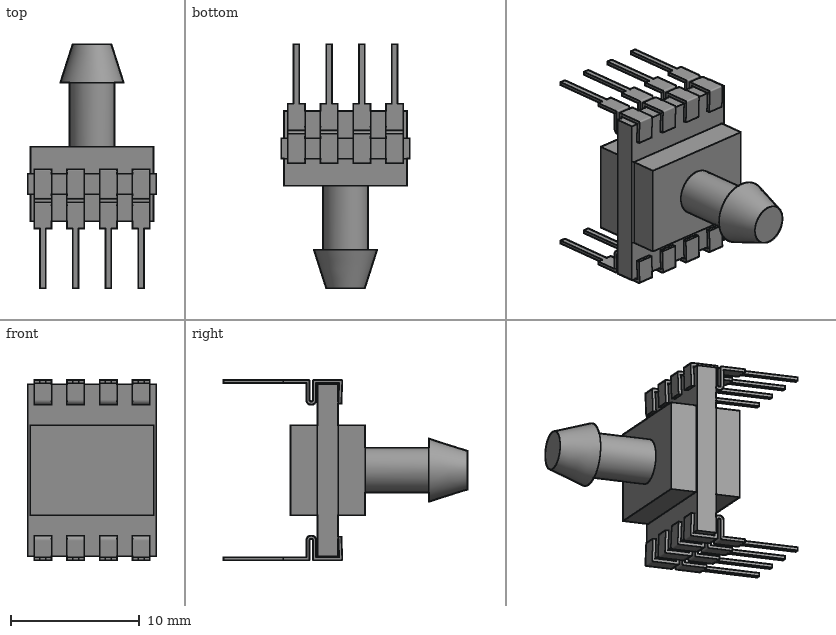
import cadquery as cq
import math

board_width = 10.0
board_thickness = 1.6
board_height = 13.35

housing_width = 9.55
housing_height = 7.0
housing_depth = 5.8
tube_diameter = 3.5
tube_length = 4.95
barb_length = 3.0
barb_base_diameter = 4.92
barb_tip_diameter = 3.0

leads_per_row = 4
lead_pitch = 2.54
lead_thickness = 0.26
lead_width = 1.37
pin_width = 0.48
lead_top_z = 7.0
lead_end_y = -8.09
shoulder_y = -3.46
corner_radius = 0.11

rear_leg_drop = 1.85
rear_leg_top_gap = 0.08
rear_leg_bottom_gap = 0.01

fold_board_gap = 0.09
fold_gap = 0.25
fold_centre_drop = 1.55

board_front_y = -board_thickness / 2
board_rear_y = board_thickness / 2
housing_rear_y = housing_depth / 2


def make_board():
    """Plate with a window that the housing fills."""
    plate = cq.Workplane("XY").box(board_width, board_thickness, board_height)
    window = cq.Workplane("XY").box(housing_width, board_thickness, housing_height)
    return plate.cut(window)


def make_port():
    """Round tube with a conical barb, turned about the Y axis."""
    barb_start_y = housing_rear_y + tube_length
    tip_y = barb_start_y + barb_length
    return (
        cq.Workplane("XY")
        .moveTo(0, housing_rear_y)
        .lineTo(tube_diameter / 2, housing_rear_y)
        .lineTo(tube_diameter / 2, barb_start_y)
        .lineTo(barb_base_diameter / 2, barb_start_y)
        .lineTo(barb_tip_diameter / 2, tip_y)
        .lineTo(0, tip_y)
        .close()
        .revolve(360, (0, 0, 0), (0, 1, 0))
    )


def make_housing():
    block = cq.Workplane("XY").box(housing_width, housing_depth, housing_height)
    return block.union(make_port())


def lead_strip():
    """Side profile of a top lead in the YZ plane, extruded to the full lead width."""
    underside_z = lead_top_z - lead_thickness

    leg_inner_top_y = board_rear_y + rear_leg_top_gap
    leg_outer_top_y = leg_inner_top_y + lead_thickness
    leg_inner_bottom_y = board_rear_y + rear_leg_bottom_gap
    leg_outer_bottom_y = leg_inner_bottom_y + lead_thickness
    leg_bottom_z = lead_top_z - rear_leg_drop

    fold_rear_y = board_front_y - fold_board_gap
    slot_rear_y = fold_rear_y - lead_thickness
    slot_front_y = slot_rear_y - fold_gap
    fold_front_y = slot_front_y - lead_thickness
    bend_y = (slot_rear_y + slot_front_y) / 2
    bend_z = lead_top_z - fold_centre_drop
    bend_inner_bottom_z = bend_z - fold_gap / 2
    bend_outer_bottom_z = bend_inner_bottom_z - lead_thickness

    corner_z = lead_top_z - corner_radius
    arc_inset = corner_radius * (1 - math.sqrt(0.5))
    arc_z = lead_top_z - arc_inset

    return (
        cq.Workplane("YZ")
        .moveTo(leg_inner_bottom_y, leg_bottom_z)
        .lineTo(leg_outer_bottom_y, leg_bottom_z)
        .lineTo(leg_outer_top_y, corner_z)
        .threePointArc((leg_outer_top_y - arc_inset, arc_z), (leg_outer_top_y - corner_radius, lead_top_z))
        .lineTo(slot_rear_y + corner_radius, lead_top_z)
        .threePointArc((slot_rear_y + arc_inset, arc_z), (slot_rear_y, corner_z))
        .lineTo(slot_rear_y, bend_z)
        .threePointArc((bend_y, bend_inner_bottom_z), (slot_front_y, bend_z))
        .lineTo(slot_front_y, corner_z)
        .threePointArc((slot_front_y - arc_inset, arc_z), (slot_front_y - corner_radius, lead_top_z))
        .lineTo(lead_end_y, lead_top_z)
        .lineTo(lead_end_y, underside_z)
        .lineTo(fold_front_y, underside_z)
        .lineTo(fold_front_y, bend_z)
        .threePointArc((bend_y, bend_outer_bottom_z), (fold_rear_y, bend_z))
        .lineTo(fold_rear_y, underside_z)
        .lineTo(leg_inner_top_y, underside_z)
        .close()
        .extrude(lead_width / 2, both=True)
    )


def make_lead():
    """Top lead at X = 0, narrowed to a thin pin beyond the shoulder."""
    side_width = (lead_width - pin_width) / 2
    side_x = (lead_width + pin_width) / 4
    pin_length = shoulder_y - lead_end_y
    side_cuts = (
        cq.Workplane("XY", origin=(0, shoulder_y - pin_length / 2, lead_top_z))
        .pushPoints([(-side_x, 0), (side_x, 0)])
        .rect(side_width, pin_length)
        .extrude(-lead_thickness)
    )
    return lead_strip().cut(side_cuts)


def make_leads():
    """One row of leads on the top edge and its mirror image on the bottom edge."""
    top_lead = make_lead()
    bottom_lead = top_lead.mirror("XY")
    leads = []
    for index in range(leads_per_row):
        x = (index - (leads_per_row - 1) / 2) * lead_pitch
        for lead in (top_lead, bottom_lead):
            leads.append(lead.translate((x, 0, 0)).val())
    return leads


board = make_board()
housing = make_housing()
leads = make_leads()

result = cq.Compound.makeCompound([board.val(), housing.val(), *leads])